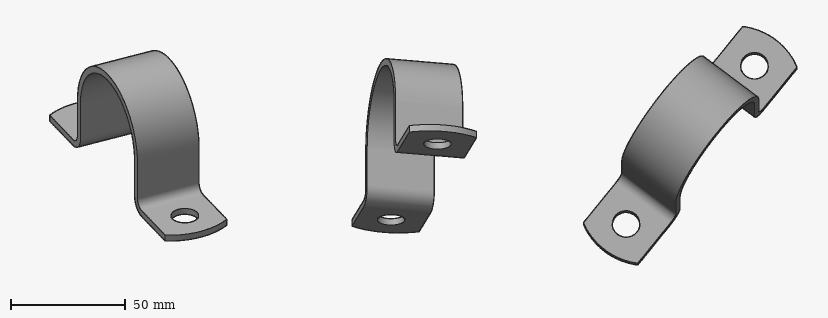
import cadquery as cq

length = 121.0
width = 30.0
height = 54.5
thickness = 3.0
saddle_radius = 26.4
bend_radius = 4.0
end_radius = 30.0
hole_diameter = 12.0
hole_spacing = 91.0

outer_radius = saddle_radius + thickness
outer_bend_radius = bend_radius + thickness
saddle_center_z = height - outer_radius
bend_center_x = outer_radius + bend_radius
bend_center_z = thickness + bend_radius
half_length = length / 2


def strap():
    """Bent strip of constant thickness, centred on Y, with its feet on Z = 0."""
    outline = (
        cq.Workplane("XZ")
        .moveTo(-half_length, 0)
        .lineTo(-bend_center_x, 0)
        .radiusArc((-saddle_radius, bend_center_z), -outer_bend_radius)
        .lineTo(-saddle_radius, saddle_center_z)
        .threePointArc((0, saddle_center_z + saddle_radius), (saddle_radius, saddle_center_z))
        .lineTo(saddle_radius, bend_center_z)
        .radiusArc((bend_center_x, 0), -outer_bend_radius)
        .lineTo(half_length, 0)
        .lineTo(half_length, thickness)
        .lineTo(bend_center_x, thickness)
        .radiusArc((outer_radius, bend_center_z), bend_radius)
        .lineTo(outer_radius, saddle_center_z)
        .threePointArc((0, height), (-outer_radius, saddle_center_z))
        .lineTo(-outer_radius, bend_center_z)
        .radiusArc((-bend_center_x, thickness), bend_radius)
        .lineTo(-half_length, thickness)
        .close()
    )
    return outline.extrude(width / 2, both=True)


def rounded_plan():
    """Tall block whose plan has the rounded ends of the feet."""
    half_width = width / 2
    corner_x = half_length - end_radius + (end_radius**2 - half_width**2) ** 0.5
    return (
        cq.Workplane("XY")
        .moveTo(-corner_x, -half_width)
        .lineTo(corner_x, -half_width)
        .threePointArc((half_length, 0), (corner_x, half_width))
        .lineTo(-corner_x, half_width)
        .threePointArc((-half_length, 0), (-corner_x, -half_width))
        .close()
        .extrude(height)
    )


def screw_holes():
    """One through hole cutter for each foot."""
    return (
        cq.Workplane("XY")
        .pushPoints([(side * hole_spacing / 2, 0) for side in (-1, 1)])
        .circle(hole_diameter / 2)
        .extrude(thickness)
    )


result = strap().intersect(rounded_plan()).cut(screw_holes())